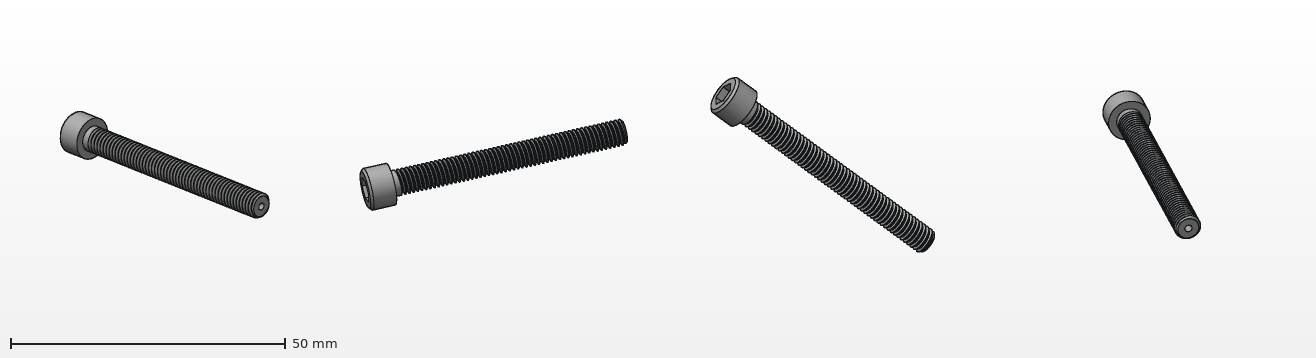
import cadquery as cq
import math

total_length = 49.25
head_diameter = 7.85
thread_diameter = 4.8
head_length = thread_diameter
head_chamfer = 0.5
tip_chamfer = 0.45

socket_across_flats = 4.0
socket_depth = head_length / 2
bore_diameter = 1.35

thread_start_angle = 90
thread_start = 6.2
thread_turns = 54.2
pitch = (total_length - thread_start) / thread_turns
crest_width = pitch / 8
root_width = pitch / 4
flank_half_angle = math.radians(30)
overcut = 0.05


def make_blank():
    """Revolve the chamfered head and shank about the X axis."""
    head_radius = head_diameter / 2
    shank_radius = thread_diameter / 2
    return (
        cq.Workplane("XZ")
        .moveTo(0, 0)
        .lineTo(0, head_radius - head_chamfer)
        .lineTo(head_chamfer, head_radius)
        .lineTo(head_length, head_radius)
        .lineTo(head_length, shank_radius)
        .lineTo(total_length - tip_chamfer, shank_radius)
        .lineTo(total_length, shank_radius - tip_chamfer)
        .lineTo(total_length, 0)
        .close()
        .revolve(360, (0, 0, 0), (1, 0, 0))
    )


def make_socket():
    """Hexagonal pocket in the head, with two corners on the Z axis."""
    across_corners = socket_across_flats / math.cos(math.radians(30))
    return (
        cq.Workplane("YZ")
        .polygon(6, across_corners)
        .extrude(socket_depth)
        .rotate((0, 0, 0), (1, 0, 0), 30)
    )


def make_bore():
    """Small hole along the whole axis."""
    return cq.Workplane("YZ").circle(bore_diameter / 2).extrude(total_length)


def make_groove_turn():
    """One turn of the right-handed V groove, at the head end of the thread.

    Each corner of the groove section traces a helix. Ruled faces join neighbouring
    helices and a flat cap closes each end.
    """
    crest_radius = thread_diameter / 2
    flank_slope = math.tan(flank_half_angle)
    root_half_width = root_width / 2
    mouth_half_width = (pitch - crest_width) / 2
    root_radius = crest_radius - (mouth_half_width - root_half_width) / flank_slope
    outer_half_width = mouth_half_width + overcut * flank_slope
    outer_radius = crest_radius + overcut

    section_corners = [
        (root_radius, -root_half_width),
        (outer_radius, -outer_half_width),
        (outer_radius, outer_half_width),
        (root_radius, root_half_width),
    ]
    helices = [
        cq.Wire.makeHelix(pitch, pitch, radius, center=cq.Vector(0, 0, offset))
        for radius, offset in section_corners
    ]
    next_helices = helices[1:] + helices[:1]
    faces = [cq.Face.makeRuledSurface(a, b) for a, b in zip(helices, next_helices)]
    for end in (0, 1):
        corners = [helix.positionAt(end) for helix in helices]
        faces.append(cq.Face.makeFromWires(cq.Wire.makePolygon(corners, close=True)))
    turn = cq.Solid.makeSolid(cq.Shell.makeShell(faces))

    return (
        turn.rotate((0, 0, 0), (0, 0, 1), 180 - thread_start_angle)
        .rotate((0, 0, 0), (0, 1, 0), 90)
        .translate(cq.Vector(thread_start, 0, 0))
    )


def cut_thread(blank):
    """Repeat the groove turn end to end until it has run out past the tip."""
    turn = make_groove_turn()
    turn_count = math.ceil(thread_turns)
    turns = [turn.translate(cq.Vector(i * pitch, 0, 0)) for i in range(turn_count)]
    return cq.Workplane(obj=blank.val().cut(*turns))


threaded_blank = cut_thread(make_blank())
result = threaded_blank.cut(make_socket(), clean=False).cut(make_bore(), clean=False)